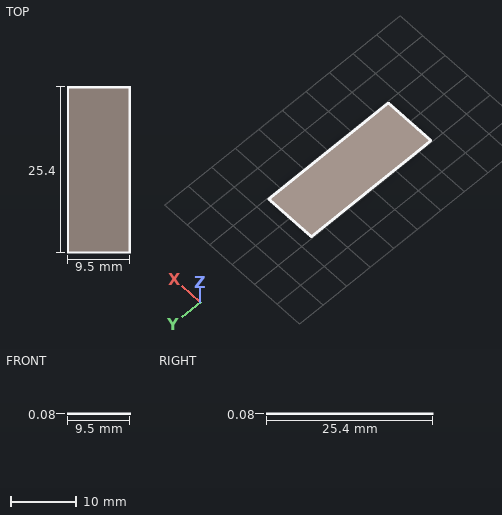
import cadquery as cq

width = 9.5
length = 25.4
thickness = 0.08

result = cq.Workplane("XY").box(width, length, thickness)